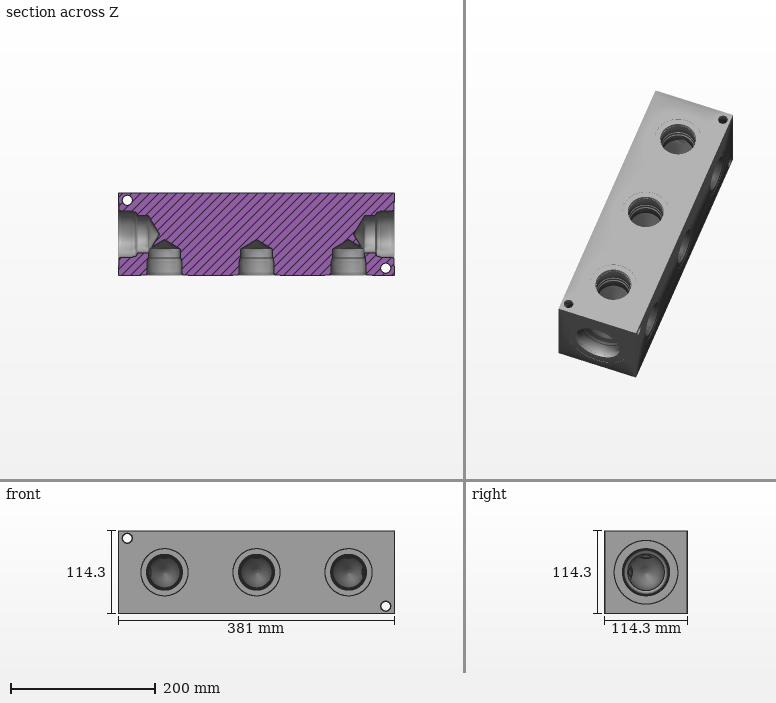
import cadquery as cq
import math

length = 381.0
side = 114.3
half_side = side / 2

port_count = 3
port_pitch = length / port_count
port_positions = [port_pitch * (i + 0.5) for i in range(port_count)]

mount_diameter = 13.5
mount_end_offset = 12.2
mount_edge_offset = 10.3

drill_point_angle = 118.0
seal_depth = 4.0

side_port = dict(
    spotface_diameter=65.0,
    spotface_depth=0.5,
    seal_diameter=49.5,
    seal_end_diameter=48.0,
    thread_diameter=47.5,
    thread_end=20.0,
    runout_diameter=45.7,
    runout_end=23.5,
    drill_diameter=43.0,
    drill_depth=36.5,
)
end_port = dict(
    spotface_diameter=88.0,
    spotface_depth=0.5,
    seal_diameter=65.0,
    seal_end_diameter=64.0,
    thread_diameter=63.5,
    thread_end=20.0,
    runout_diameter=61.5,
    runout_end=23.5,
    drill_diameter=50.5,
    drill_depth=41.0,
)


def port_cutter(
    spotface_diameter,
    spotface_depth,
    seal_diameter,
    seal_end_diameter,
    thread_diameter,
    thread_end,
    runout_diameter,
    runout_end,
    drill_diameter,
    drill_depth,
):
    """Revolved stepped cavity that opens at Z = 0 and runs down along -Z."""
    spotface_radius = spotface_diameter / 2
    seal_radius = seal_diameter / 2
    thread_radius = thread_diameter / 2
    runout_radius = runout_diameter / 2
    drill_radius = drill_diameter / 2
    seal_end_radius = seal_end_diameter / 2
    drill_slope = 1 / math.tan(math.radians(drill_point_angle / 2))
    step_end = runout_end + (runout_radius - drill_radius) * drill_slope
    tip_depth = drill_depth + drill_radius * drill_slope
    profile = [
        (0, 0),
        (spotface_radius, 0),
        (spotface_radius, -spotface_depth),
        (seal_radius, -spotface_depth),
        (seal_end_radius, -seal_depth),
        (thread_radius, -seal_depth),
        (thread_radius, -thread_end),
        (runout_radius, -thread_end),
        (runout_radius, -runout_end),
        (drill_radius, -step_end),
        (drill_radius, -drill_depth),
        (0, -tip_depth),
    ]
    return cq.Workplane("XZ").polyline(profile).close().revolve(360, (0, 0), (0, 1))


def mounting_holes():
    """Two through holes along Z, near the (-X, +Y) and (+X, -Y) corners."""
    x = length / 2 - mount_end_offset
    y = half_side - mount_edge_offset
    return (
        cq.Workplane("XY", origin=(length / 2, 0, -half_side))
        .pushPoints([(-x, y), (x, -y)])
        .circle(mount_diameter / 2)
        .extrude(side)
    )


def turn_top_to_front(shape):
    """Turn a +Z face feature onto the -Y face; its +Y direction becomes +Z."""
    return shape.rotate((0, 0, 0), (1, 0, 0), 90)


result = cq.Workplane("XY").box(length, side, side, centered=(False, True, True))

for position in port_positions:
    top_port = port_cutter(**side_port).translate((position, 0, half_side))
    result = result.cut(top_port).cut(turn_top_to_front(top_port))

port_at_start = port_cutter(**end_port).rotate((0, 0, 0), (0, 1, 0), -90)
port_at_end = port_cutter(**end_port).rotate((0, 0, 0), (0, 1, 0), 90).translate((length, 0, 0))
result = result.cut(port_at_start).cut(port_at_end)

top_holes = mounting_holes()
result = result.cut(top_holes).cut(turn_top_to_front(top_holes))